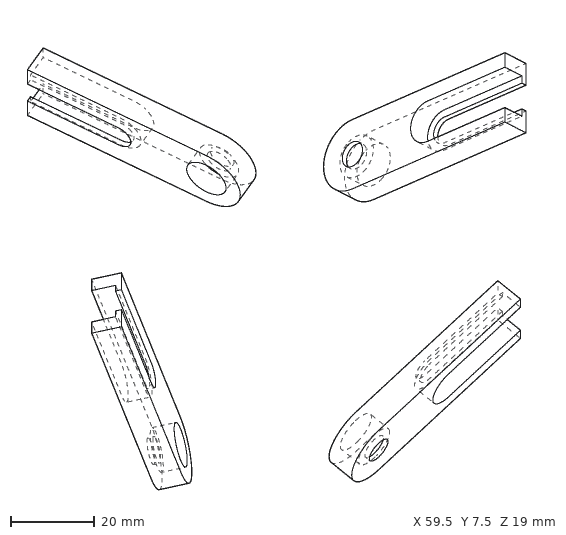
import cadquery as cq

length = 59.5
thickness = 7.5
height = 19.0

slot_width = 7.0
slot_end = 28.9
slot_relief_width = 11.0
lip_thickness = 1.5

bore_diameter = 6.6
counterbore_diameter = 11.0
counterbore_depth = 6.0

end_radius = height / 2
eye_x = length - end_radius
slot_center_x = slot_end - slot_width / 2


def rounded_bar(start_x, center_x, width, front_y, back_y):
    """Bar along X with a half-round end centred on center_x."""
    depth = back_y - front_y
    bar_length = center_x - start_x
    bar = cq.Workplane("XY").box(bar_length, depth, width, centered=(False, False, True))
    bar = bar.translate((start_x, front_y, 0))
    return bar.union(eye_cylinder(center_x, width, front_y, back_y))


def eye_cylinder(center_x, diameter, front_y, back_y):
    """Cylinder along Y between two depths."""
    front = cq.Workplane("XZ", origin=(center_x, front_y, 0))
    return front.circle(diameter / 2).extrude(front_y - back_y)


plate = rounded_bar(0, eye_x, height, 0, thickness)

narrow_slot = rounded_bar(0, slot_center_x, slot_width, 0, thickness)
wide_slot = rounded_bar(0, slot_center_x, slot_relief_width, lip_thickness, thickness)

bore = eye_cylinder(eye_x, bore_diameter, 0, thickness)
counterbore = eye_cylinder(eye_x, counterbore_diameter, 0, counterbore_depth)

result = plate.cut(narrow_slot).cut(wide_slot).cut(bore).cut(counterbore)